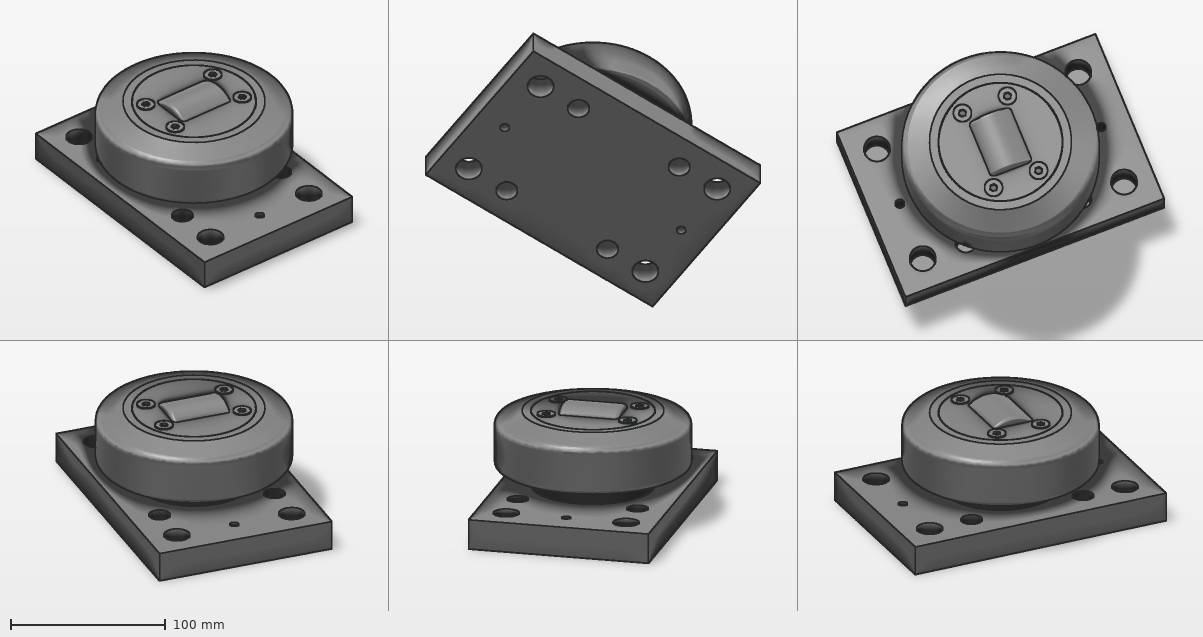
import cadquery as cq

plate_length = 180.0
plate_width = 120.0
plate_thickness = 20.0
mount_hole_diameter = 17.0
inner_hole_diameter = 13.9
pin_hole_diameter = 6.0
mount_hole_x = 70.0
hole_y = 40.0

stem_diameter = 80.0

top_z = 70.7
ring_bottom_z = 33.8
ring_radius = 63.9
ring_edge_radius = 63.7
ring_flat_radius = 45.9
cone_drop = 5.8
ring_top_fillet = 5.4
ring_bottom_fillet = 3.2
gap_width = 0.27
gap_depth = 1.8

roller_top_z = 76.0
roller_radius = 22.5
roller_length = 40.1
roller_fillet = 2.5

screw_x = 15.7
screw_y = 27.2
screw_head_diameter = 11.7
screw_head_height = 0.7
socket_across_corners = 5.0
socket_depth = 1.8


def mirrored_points(x, y):
    return [(sx * x, sy * y) for sx in (-1, 1) for sy in (-1, 1)]


def make_plate():
    plate = cq.Workplane("XY").box(
        plate_length, plate_width, plate_thickness, centered=(True, True, False)
    )
    hole_patterns = [
        (mount_hole_diameter, mirrored_points(mount_hole_x, hole_y)),
        (inner_hole_diameter, mirrored_points(hole_y, hole_y)),
        (pin_hole_diameter, [(-mount_hole_x, 0), (mount_hole_x, 0)]),
    ]
    for diameter, centers in hole_patterns:
        plate = plate.faces(">Z").workplane(origin=(0, 0, 0)).pushPoints(centers).hole(diameter)
    return plate


def make_stem():
    stem_height = top_z - plate_thickness
    return cq.Workplane("XY", origin=(0, 0, plate_thickness)).circle(stem_diameter / 2).extrude(stem_height)


def make_ring():
    """Slightly crowned ring with a conical upper shoulder and rounded rims."""
    cone_end_z = top_z - cone_drop
    crown_z = (ring_bottom_z + cone_end_z) / 2
    ring = (
        cq.Workplane("XZ")
        .moveTo(0, ring_bottom_z)
        .lineTo(ring_edge_radius, ring_bottom_z)
        .threePointArc((ring_radius, crown_z), (ring_edge_radius, cone_end_z))
        .lineTo(ring_flat_radius, top_z)
        .lineTo(0, top_z)
        .close()
        .revolve(360, (0, 0, 0), (0, 1, 0))
    )
    ring = ring.faces("<Z").edges().fillet(ring_bottom_fillet)
    rim_band = cq.selectors.BoxSelector(
        (-ring_radius, -ring_radius, cone_end_z - cone_drop / 2),
        (ring_radius, ring_radius, cone_end_z + cone_drop / 2),
        boundingbox=True,
    )
    return ring.edges("%CIRCLE").edges(rim_band).fillet(ring_top_fillet)


def make_gap():
    """Narrow groove separating the stem from the ring in the top face."""
    inner_radius = stem_diameter / 2
    return (
        cq.Workplane("XY", origin=(0, 0, top_z))
        .circle(inner_radius + gap_width)
        .circle(inner_radius)
        .extrude(-gap_depth)
    )


def make_roller():
    """Roller lying along Y, with rounded ends."""
    axis_z = roller_top_z - roller_radius
    return (
        cq.Workplane("XZ", origin=(0, 0, axis_z))
        .circle(roller_radius)
        .extrude(roller_length / 2, both=True)
        .edges()
        .fillet(roller_fillet)
        .intersect(
            cq.Workplane("XY", origin=(0, 0, axis_z)).box(
                2 * roller_radius, roller_length, roller_radius, centered=(True, True, False)
            )
        )
    )


def make_screw_heads():
    return (
        cq.Workplane("XY", origin=(0, 0, top_z))
        .pushPoints(mirrored_points(screw_x, screw_y))
        .circle(screw_head_diameter / 2)
        .extrude(screw_head_height)
    )


def make_sockets():
    return (
        cq.Workplane("XY", origin=(0, 0, top_z + screw_head_height))
        .pushPoints(mirrored_points(screw_x, screw_y))
        .polygon(6, socket_across_corners)
        .extrude(-socket_depth)
    )


body = make_plate().union(make_stem()).union(make_ring()).cut(make_gap())
result = body.union(make_roller()).union(make_screw_heads()).cut(make_sockets())